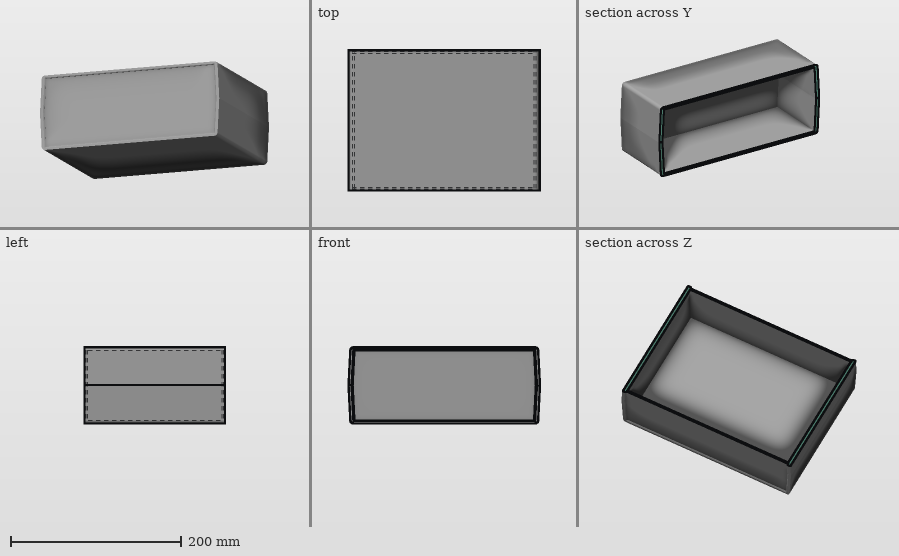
import cadquery as cq
import math

WIDTH = 225.0
DEPTH = 165.0
HEIGHT = 89.5

SIDE_SLOPE = 3.0
CORNER_RADIUS = 4.0
SIDE_RIM = 3.5
FLOOR_RIM = 2.7
SIDE_BEVEL = 1.45
FLOOR_BEVEL = 1.0
JOINT_OFFSET = 0.2

PANEL_RECESS = 1.8
PANEL_THICKNESS = 2.0

HALF_WIDTH = WIDTH / 2
HALF_DEPTH = DEPTH / 2
HALF_HEIGHT = HEIGHT / 2
SIDE_WALL = SIDE_RIM + SIDE_BEVEL
FLOOR_WALL = FLOOR_RIM + FLOOR_BEVEL


def section(side_inset, floor_inset, y):
    """Six-sided section of the case in the plane at y, set in from the outer walls by the insets."""
    top_z = HALF_HEIGHT - floor_inset
    ridge_x = HALF_WIDTH - side_inset
    corner_x = ridge_x - top_z * math.tan(math.radians(SIDE_SLOPE))
    points = [
        (ridge_x, 0),
        (corner_x, top_z),
        (-corner_x, top_z),
        (-ridge_x, 0),
        (-corner_x, -top_z),
        (corner_x, -top_z),
    ]
    return cq.Workplane("XZ", origin=(0, y, 0)).polyline(points).close()


def bevelled_mouth():
    """Space inside the rim at the -Y end, narrowing along the side walls and along top and bottom."""
    wide = section(SIDE_RIM, FLOOR_RIM, -HALF_DEPTH).wire().val()
    narrow = section(SIDE_WALL, FLOOR_RIM, -HALF_DEPTH + SIDE_BEVEL).wire().val()
    between_sides = cq.Workplane(cq.Solid.makeLoft([wide, narrow], True))

    wide_z = HALF_HEIGHT - FLOOR_RIM
    narrow_z = HALF_HEIGHT - FLOOR_WALL
    profile = [
        (-HALF_DEPTH, wide_z),
        (-HALF_DEPTH + FLOOR_BEVEL, narrow_z),
        (0, narrow_z),
        (0, -narrow_z),
        (-HALF_DEPTH + FLOOR_BEVEL, -narrow_z),
        (-HALF_DEPTH, -wide_z),
    ]
    between_floors = cq.Workplane("YZ").polyline(profile).close().extrude(HALF_WIDTH, both=True)
    return between_sides.intersect(between_floors)


def case_tube():
    """Both half shells as one tube along Y, open and bevelled at each end."""
    outer = section(0, 0, HALF_DEPTH).extrude(DEPTH)
    outer = outer.edges("|Y").edges(">Z or <Z").fillet(CORNER_RADIUS)
    cavity = section(SIDE_WALL, FLOOR_WALL, HALF_DEPTH).extrude(DEPTH)
    mouth = bevelled_mouth()
    return outer.cut(cavity).cut(mouth).cut(mouth.mirror("XZ"))


def half_shell():
    """Upper half of the tube; the joint lies higher at -X than at +X."""
    outline = [
        (-HALF_WIDTH, JOINT_OFFSET),
        (0, JOINT_OFFSET),
        (0, -JOINT_OFFSET),
        (HALF_WIDTH, -JOINT_OFFSET),
        (HALF_WIDTH, HALF_HEIGHT),
        (-HALF_WIDTH, HALF_HEIGHT),
    ]
    upper_space = cq.Workplane("XZ").polyline(outline).close().extrude(HALF_DEPTH, both=True)
    return case_tube().intersect(upper_space)


def end_panel():
    """Flat plate that closes the -Y end and fits the cavity."""
    back_y = -HALF_DEPTH + PANEL_RECESS + PANEL_THICKNESS
    return section(SIDE_WALL, FLOOR_WALL, back_y).extrude(PANEL_THICKNESS)


half_shells = [half_shell().rotate((0, 0, 0), (0, 1, 0), turn) for turn in (0, 180)]
end_panels = [end_panel().rotate((0, 0, 0), (0, 0, 1), turn) for turn in (0, 180)]

result = cq.Compound.makeCompound([body.val() for body in half_shells + end_panels])